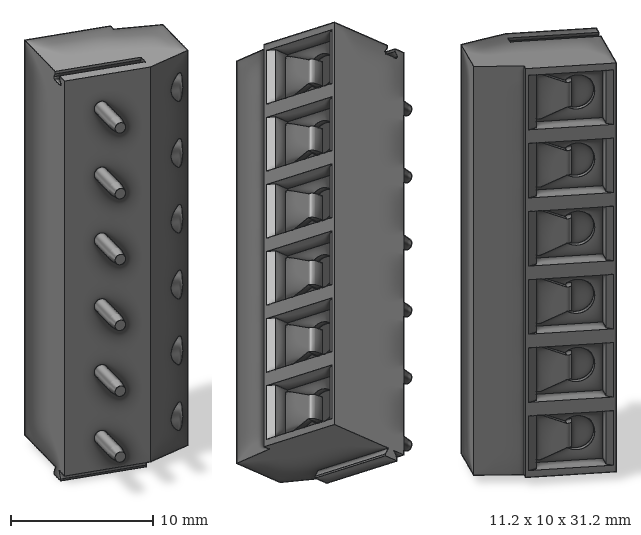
import cadquery as cq
pole_count = 6
pitch = 5.08
overlap = 0.1

total_depth = 11.2
total_length = 31.16
body_depth = 7.55
body_height = 10.0
body_length = pole_count * pitch
shoulder_y = 6.5
shoulder_step = 0.58
top_left_x = 1.15
top_right_x = 5.89

pocket_width = 4.06
pocket_low_y = 0.22
pocket_high_y = 6.28
low_lip = 0.46
high_lip = 0.6
lip_depth = 0.31
pocket_depth = 1.58
wire_hole_radius = 1.27
wire_hole_y = 2.52
wire_hole_floor_x = 2.03

guard_x = 1.1
guard_back_x = wire_hole_floor_x + overlap
guard_root_y = pocket_high_y - high_lip
guard_bend = 0.45
guard_tip_y = 2.84
guard_tip_start_y = 3.34
guard_tip_round_run = 0.39
guard_tip_round_drop = 0.27
guard_root_width = 3.35
guard_tip_width = 1.82

pin_diameter = 1.04
pin_tip_diameter = 0.8
pin_tip_length = 0.83
pin_y = 2.77

screw_x = 4.6
screw_radius = 2.03
screw_top_y = 9.45
screw_bottom_y = 8.0
screw_round = 0.4

dovetail_x = 6.18
tongue_height = total_length - body_length
tongue_neck_width = 0.64
tongue_base_width = 1.28
tongue_base_edge = 0.14
groove_depth = 0.68
groove_mouth_width = 0.84
groove_wide_width = 1.34
groove_floor_width = 1.12
groove_neck_depth = 0.2
groove_wide_depth = 0.52

pole_heights = [(pole + 0.5) * pitch for pole in range(pole_count)]


def extrude_along_z(points, z_start, length):
    return cq.Workplane("XY").workplane(offset=z_start).polyline(points).close().extrude(length)


def make_housing():
    outline = [
        (0, 0),
        (body_depth, 0),
        (body_depth, shoulder_y),
        (top_right_x, body_height),
        (top_left_x, body_height),
        (shoulder_step, shoulder_y),
        (0, shoulder_y),
    ]
    return extrude_along_z(outline, 0, body_length)


def make_guard(z_center):
    """Plate with a rounded root and tip, narrowing from root to tip."""
    bend_y = guard_root_y - guard_bend
    side_profile = (
        cq.Workplane("XY")
        .workplane(offset=z_center - guard_root_width / 2)
        .moveTo(guard_x, bend_y)
        .lineTo(guard_x, guard_tip_start_y)
        .tangentArcPoint((guard_tip_round_drop, -guard_tip_round_run))
        .lineTo(wire_hole_floor_x, guard_tip_y)
        .lineTo(guard_back_x, guard_tip_y)
        .lineTo(guard_back_x, guard_root_y)
        .lineTo(guard_x + guard_bend, guard_root_y)
        .radiusArc((guard_x, bend_y), -guard_bend)
        .close()
        .extrude(guard_root_width)
    )
    half_root = guard_root_width / 2
    half_tip = guard_tip_width / 2
    plan = [
        (guard_root_y, half_root),
        (bend_y, half_root),
        (guard_tip_start_y, half_tip),
        (guard_tip_y, half_tip),
        (guard_tip_y, -half_tip),
        (guard_tip_start_y, -half_tip),
        (bend_y, -half_root),
        (guard_root_y, -half_root),
    ]
    plan_prism = (
        cq.Workplane("YZ", origin=(0, 0, z_center))
        .polyline(plan)
        .close()
        .extrude(guard_back_x)
    )
    return side_profile.intersect(plan_prism)


def make_wire_pocket(z_center):
    """Flared rectangular pocket with a round blind hole, less the guard plate."""
    outline = [
        (0, pocket_low_y),
        (lip_depth, pocket_low_y + low_lip),
        (pocket_depth, pocket_low_y + low_lip),
        (pocket_depth, pocket_high_y - high_lip),
        (lip_depth, pocket_high_y - high_lip),
        (0, pocket_high_y),
    ]
    pocket = extrude_along_z(outline, z_center - pocket_width / 2, pocket_width)
    wire_hole = (
        cq.Workplane("YZ", origin=(lip_depth, wire_hole_y, z_center))
        .circle(wire_hole_radius)
        .extrude(wire_hole_floor_x - lip_depth)
    )
    return pocket.union(wire_hole).cut(make_guard(z_center))


def make_pin(z_center):
    tip_start_x = total_depth - pin_tip_length
    profile = [
        (body_depth - overlap, 0),
        (body_depth - overlap, pin_diameter / 2),
        (tip_start_x, pin_diameter / 2),
        (total_depth, pin_tip_diameter / 2),
        (total_depth, 0),
    ]
    return (
        cq.Workplane("XY", origin=(0, pin_y, z_center))
        .polyline(profile)
        .close()
        .revolve(360, (0, 0, 0), (1, 0, 0))
    )


def make_screw(z_center):
    return (
        cq.Workplane("XZ", origin=(screw_x, screw_top_y, z_center))
        .circle(screw_radius)
        .extrude(screw_top_y - screw_bottom_y)
        .faces(">Y")
        .edges()
        .fillet(screw_round)
    )


def make_dovetail(levels):
    """Prism along Y, symmetric about dovetail_x, from (z, width) levels."""
    right_side = [(dovetail_x + width / 2, z) for z, width in levels]
    left_side = [(dovetail_x - width / 2, z) for z, width in reversed(levels)]
    return cq.Workplane("XZ").polyline(right_side + left_side).close().extrude(-shoulder_y)


def make_tongue():
    return make_dovetail([
        (overlap, tongue_neck_width),
        (0, tongue_neck_width),
        (tongue_base_edge - tongue_height, tongue_base_width),
        (-tongue_height, tongue_base_width),
    ])


def make_groove():
    return make_dovetail([
        (body_length, groove_mouth_width),
        (body_length - groove_neck_depth, groove_mouth_width),
        (body_length - groove_wide_depth, groove_wide_width),
        (body_length - groove_depth, groove_floor_width),
    ])


result = make_housing().cut(make_groove()).union(make_tongue())
for z in pole_heights:
    result = result.union(make_screw(z)).union(make_pin(z)).cut(make_wire_pocket(z))